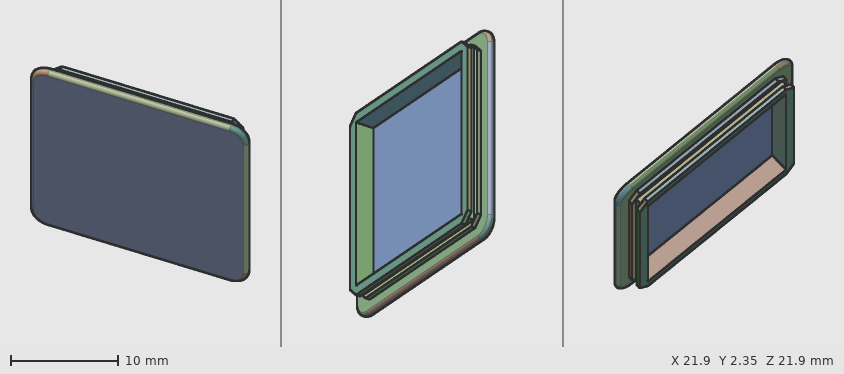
import cadquery as cq

plate_side = 21.85
plate_thickness = 0.8
plate_corner_radius = 1.8
front_edge_radius = 0.4
back_edge_radius = 0.3

plug_depth = 1.55
collar_side = 19.22
collar_chamfer = 0.98
front_collar_thickness = 0.45
back_collar_thickness = 0.45
neck_side = 18.21
neck_length = plug_depth - front_collar_thickness - back_collar_thickness

front_wall = 0.4
collar_wall = 1.0
recess_side = collar_side - 2 * collar_wall


def square_block(side, start_y, length):
    """Square block centred on the Y axis, from start_y to start_y + length."""
    return cq.Workplane("XY").box(side, length, side).translate((0, start_y + length / 2, 0))


def face_plate():
    plate = square_block(plate_side, 0, plate_thickness)
    plate = plate.edges("|Y").fillet(plate_corner_radius)
    plate = plate.faces("<Y").edges().fillet(front_edge_radius)
    return plate.faces(">Y").edges().fillet(back_edge_radius)


def collar(start_y, thickness):
    return square_block(collar_side, start_y, thickness).edges("|Y").chamfer(collar_chamfer)


neck_start = plate_thickness + front_collar_thickness
back_collar_start = neck_start + neck_length
overall_depth = plate_thickness + plug_depth

result = (
    face_plate()
    .union(collar(plate_thickness, front_collar_thickness))
    .union(square_block(neck_side, neck_start, neck_length))
    .union(collar(back_collar_start, back_collar_thickness))
    .cut(square_block(recess_side, front_wall, overall_depth - front_wall))
)